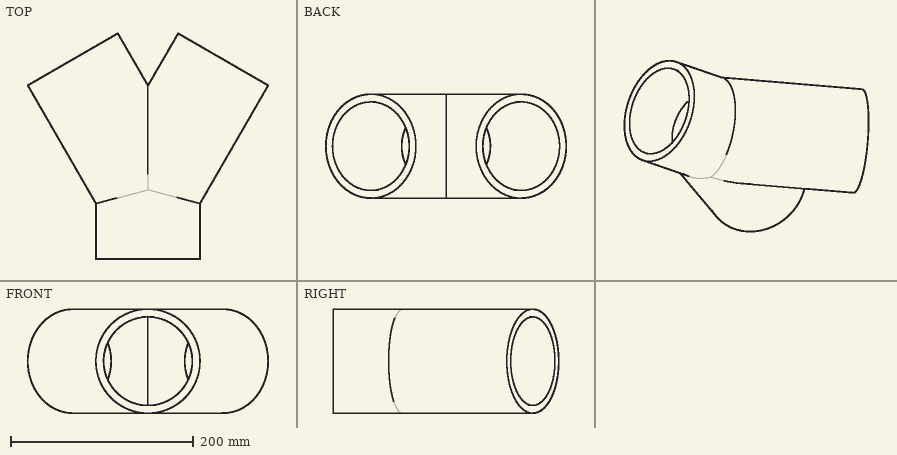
import cadquery as cq
import math

outer_diameter = 114.4
bore_diameter = 97.2
overall_width = 264.0
overall_length = 247.7
branch_angle = 30.0

outer_radius = outer_diameter / 2
branch_sine = math.sin(math.radians(branch_angle))
branch_cosine = math.cos(math.radians(branch_angle))

branch_length = (overall_width / 2 - outer_radius * branch_cosine) / branch_sine
branch_reach = branch_length * branch_cosine + outer_radius * branch_sine
inlet_length = overall_length - branch_reach

mitre_slope = math.tan(math.radians(branch_angle / 2))
wedge_size = 2 * overall_width


def pipe_rod(diameter, length, direction):
    """Cylinder along direction, running past the origin so it can be mitred."""
    axis = cq.Vector(*direction)
    start = axis * -outer_diameter
    return cq.Workplane(
        cq.Solid.makeCylinder(diameter / 2, length + outer_diameter, start, axis)
    )


def wedge(points):
    """Tall prism over an XY outline, used to trim a rod at its mitre planes."""
    return cq.Workplane("XY").polyline(points).close().extrude(outer_diameter, both=True)


def mitred_wye(diameter):
    """Solid Y of three rods of one diameter, trimmed to meet at their mitres."""
    mitre_drop = -wedge_size * mitre_slope
    inlet_wedge = wedge([
        (0, 0),
        (wedge_size, mitre_drop),
        (wedge_size, -wedge_size),
        (-wedge_size, -wedge_size),
        (-wedge_size, mitre_drop),
    ])
    body = pipe_rod(diameter, inlet_length, (0, -1, 0)).intersect(inlet_wedge)
    for side in (-1, 1):
        branch_wedge = wedge([
            (0, 0),
            (side * wedge_size, mitre_drop),
            (side * wedge_size, wedge_size),
            (0, wedge_size),
        ])
        direction = (side * branch_sine, branch_cosine, 0)
        branch = pipe_rod(diameter, branch_length, direction).intersect(branch_wedge)
        body = body.union(branch)
    return body


result = mitred_wye(outer_diameter).cut(mitred_wye(bore_diameter))